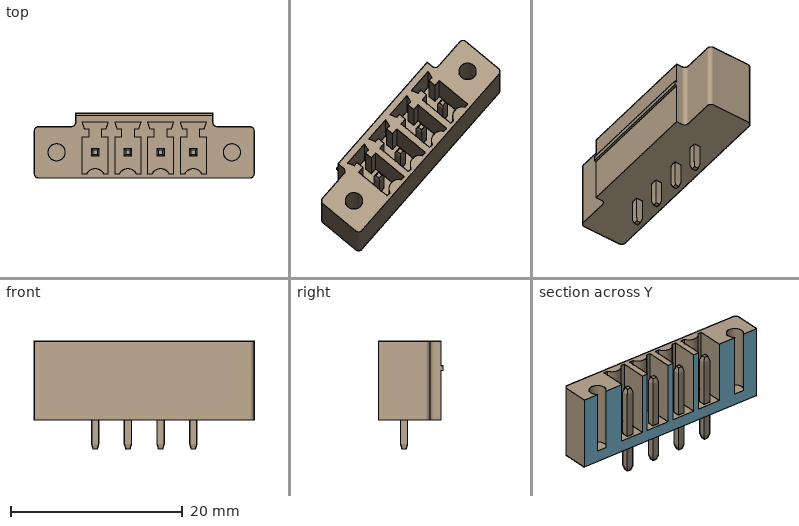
import cadquery as cq


housing_length = 25.63
housing_height = 9.2
center_length = 16.0
flange_depth = 6.0
center_depth = 7.3
corner_radius = 0.5
front_y = -3.0
flange_back_y = front_y + flange_depth
center_back_y = front_y + center_depth

rib_height = 0.6
rib_projection = 0.25
rib_bottom_z = 5.75

pin_count = 4
pitch = 3.81
pin_width = 0.85
pin_tip_width = 0.5
pin_tip_length = 0.6
pin_tail_length = 3.4
pin_top_z = 7.8

floor_thickness = 1.5
chamber_width = 3.03
chamber_front_y = front_y + 0.45
chamber_back_y = front_y + 4.8
neck_width = 1.5
neck_back_y = front_y + 5.7
dovetail_front_width = 2.5
dovetail_back_y = front_y + 6.5
key_width = 2.0
key_depth = 0.65

bushing_spacing = 20.42
bushing_diameter = 4.03
bushing_hole_diameter = 2.0
bushing_depth = housing_height - floor_thickness

pin_positions = [(index - (pin_count - 1) / 2) * pitch for index in range(pin_count)]
bushing_positions = [(-bushing_spacing / 2, 0), (bushing_spacing / 2, 0)]


def make_housing():
    """T-shaped block with rounded flange corners and rounded inner corners."""
    flanges = (
        cq.Workplane("XY")
        .box(housing_length, flange_depth, housing_height, centered=(True, False, False))
        .translate((0, front_y, 0))
    )
    center = (
        cq.Workplane("XY")
        .box(center_length, center_depth, housing_height, centered=(True, False, False))
        .translate((0, front_y, 0))
    )
    half_length = housing_length / 2
    half_center = center_length / 2
    rounded_corners = [
        (-half_length, front_y),
        (half_length, front_y),
        (-half_length, flange_back_y),
        (half_length, flange_back_y),
        (-half_center, flange_back_y),
        (half_center, flange_back_y),
    ]
    block = flanges.union(center)
    for x, y in rounded_corners:
        corner_edge = cq.selectors.NearestToPointSelector((x, y, housing_height / 2))
        block = block.edges(corner_edge).fillet(corner_radius)
    return block


def make_rib():
    """Thin rectangular rib across the full width of the raised center."""
    return (
        cq.Workplane("XY")
        .box(center_length, rib_projection, rib_height, centered=(True, False, False))
        .translate((0, center_back_y, rib_bottom_z))
    )


def make_chamber(x):
    """Chamber void: rectangle with a round key in front and a dovetail slot behind."""
    half_chamber = chamber_width / 2
    half_neck = neck_width / 2
    half_dovetail = dovetail_front_width / 2
    half_key = key_width / 2
    return (
        cq.Workplane("XY", origin=(x, 0, floor_thickness))
        .moveTo(-half_chamber, chamber_front_y)
        .lineTo(-half_key, chamber_front_y)
        .threePointArc((0, chamber_front_y + key_depth), (half_key, chamber_front_y))
        .lineTo(half_chamber, chamber_front_y)
        .lineTo(half_chamber, chamber_back_y)
        .lineTo(half_neck, chamber_back_y)
        .lineTo(half_neck, neck_back_y)
        .lineTo(half_dovetail, neck_back_y)
        .lineTo(half_chamber, dovetail_back_y)
        .lineTo(-half_chamber, dovetail_back_y)
        .lineTo(-half_dovetail, neck_back_y)
        .lineTo(-half_neck, neck_back_y)
        .lineTo(-half_neck, chamber_back_y)
        .lineTo(-half_chamber, chamber_back_y)
        .close()
        .extrude(housing_height - floor_thickness)
    )


def make_pin(x):
    """Square pin with a tapered tip at each end."""
    shaft_bottom_z = pin_tip_length - pin_tail_length
    shaft_top_z = pin_top_z - pin_tip_length
    shaft = (
        cq.Workplane("XY", origin=(x, 0, shaft_bottom_z))
        .rect(pin_width, pin_width)
        .extrude(shaft_top_z - shaft_bottom_z)
    )
    top_tip = (
        cq.Workplane("XY", origin=(x, 0, shaft_top_z))
        .rect(pin_width, pin_width)
        .workplane(offset=pin_tip_length)
        .rect(pin_tip_width, pin_tip_width)
        .loft()
    )
    bottom_tip = (
        cq.Workplane("XY", origin=(x, 0, shaft_bottom_z))
        .rect(pin_width, pin_width)
        .workplane(offset=-pin_tip_length)
        .rect(pin_tip_width, pin_tip_width)
        .loft()
    )
    return shaft.union(top_tip).union(bottom_tip)


def make_bushing_seats():
    """Round blind seats for the bushings, one in each flange."""
    return (
        cq.Workplane("XY", origin=(0, 0, housing_height))
        .pushPoints(bushing_positions)
        .circle(bushing_diameter / 2)
        .extrude(-bushing_depth)
    )


def make_bushings():
    """Plain sleeves that fill the seats and leave the screw holes open."""
    return (
        cq.Workplane("XY", origin=(0, 0, housing_height))
        .pushPoints(bushing_positions)
        .circle(bushing_diameter / 2)
        .pushPoints(bushing_positions)
        .circle(bushing_hole_diameter / 2)
        .extrude(-bushing_depth)
    )


result = make_housing().union(make_rib())
for pin_x in pin_positions:
    result = result.cut(make_chamber(pin_x)).union(make_pin(pin_x))

result = result.cut(make_bushing_seats()).union(make_bushings(), clean=False)